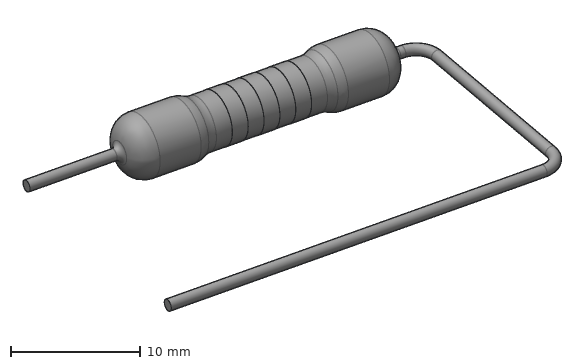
import cadquery as cq
import math

overall_width = 23.25
overall_length = 37.1
wire_diameter = 1.0
bend_radius = 1.93
body_center_y = 21.1

cap_diameter = 5.5
waist_diameter = 4.67
band_diameter = 4.7
body_half_length = 12.55
dome_radius = 1.95
barrel_inner_end = 6.8
waist_half_length = 5.12
flare_radius = 0.55
band_section_count = 7

wire_radius = wire_diameter / 2
cap_radius = cap_diameter / 2
waist_radius = waist_diameter / 2
lead_pitch = overall_width - cap_radius - wire_radius
crossbar_y = overall_length - wire_radius


def arc_midpoint(center, radius, start_angle, end_angle):
    """Point halfway along an arc, with angles in radians."""
    angle = (start_angle + end_angle) / 2
    return (center[0] + radius * math.cos(angle), center[1] + radius * math.sin(angle))


def make_cap():
    """Revolve one cap on the +Y side, from the body centre to the lead flare."""
    dome_center = (cap_radius - dome_radius, body_half_length - dome_radius)
    flare_center_x = wire_radius + flare_radius
    center_dx = flare_center_x - dome_center[0]
    center_distance = dome_radius + flare_radius
    center_dy = math.sqrt(center_distance**2 - center_dx**2)
    flare_center = (flare_center_x, dome_center[1] + center_dy)
    touch_angle = math.atan2(center_dy, center_dx)
    touch_point = (
        dome_center[0] + dome_radius * math.cos(touch_angle),
        dome_center[1] + dome_radius * math.sin(touch_angle),
    )
    dome_middle = arc_midpoint(dome_center, dome_radius, 0, touch_angle)
    flare_middle = arc_midpoint(flare_center, flare_radius, touch_angle + math.pi, math.pi)

    shoulder_middle = (
        (waist_radius + cap_radius) / 2,
        (waist_half_length + barrel_inner_end) / 2,
    )

    profile = (
        cq.Workplane("XY")
        .moveTo(0, 0)
        .lineTo(waist_radius, 0)
        .lineTo(waist_radius, waist_half_length)
        .tangentArcPoint(shoulder_middle, relative=False)
        .tangentArcPoint((cap_radius, barrel_inner_end), relative=False)
        .lineTo(cap_radius, dome_center[1])
        .threePointArc(dome_middle, touch_point)
        .threePointArc(flare_middle, (wire_radius, flare_center[1]))
        .lineTo(0, flare_center[1])
        .close()
    )
    return profile.revolve(360, (0, 0, 0), (0, 1, 0))


def make_body():
    """Two mirrored caps, with raised bands on every second section of the waist."""
    cap = make_cap()
    body = cap.union(cap.mirror("XZ"))
    section_length = 2 * waist_half_length / band_section_count
    for section in range(1, band_section_count, 2):
        start_y = -waist_half_length + section * section_length
        band = (
            cq.Workplane("XZ", origin=(0, start_y, 0))
            .circle(band_diameter / 2)
            .extrude(-section_length)
        )
        body = body.union(band)
    return body.translate((0, body_center_y, 0))


def make_wire():
    """One continuous lead through the body, bent back to run parallel to it."""
    bend_start_y = crossbar_y - bend_radius
    bend_end_x = lead_pitch - bend_radius
    path = (
        cq.Workplane("XY")
        .moveTo(0, 0)
        .lineTo(0, bend_start_y)
        .tangentArcPoint((bend_radius, crossbar_y), relative=False)
        .lineTo(bend_end_x, crossbar_y)
        .tangentArcPoint((lead_pitch, bend_start_y), relative=False)
        .lineTo(lead_pitch, 0)
    )
    return cq.Workplane("XZ").circle(wire_radius).sweep(path)


result = make_body().union(make_wire())